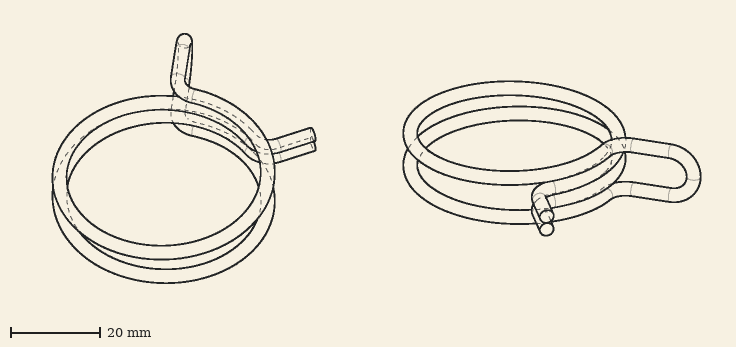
import cadquery as cq
import math


wire_diameter = 3.2
ring_outer_diameter = 50.0
overall_height = 14.3
end_gap = 0.1
bend_radius = 5.0
bend_start_angle = 20.0
leg_lean = 30.0
loop_leg_length = 8.9
free_leg_length = 8.5
coil_steps = 24

wire_radius = wire_diameter / 2
coil_radius = ring_outer_diameter / 2 - wire_radius
loop_radius = overall_height / 2 - wire_radius
loop_leg_z = loop_radius
free_leg_z = wire_radius + end_gap / 2
coil_start = 90 + bend_start_angle
coil_sweep = 360 + 2 * bend_start_angle


def polar(radius, angle, z):
    """Point at a radius and angle (degrees) about the Z axis."""
    turn = math.radians(angle)
    return cq.Vector(radius * math.cos(turn), radius * math.sin(turn), z)


def leg_direction(side):
    """Unit vector along a leg, outward from the ring; side is -1 or +1 in X."""
    return polar(1, 90 - side * leg_lean, 0)


def bend_points(side, z):
    """Start (on the coil), middle and end (on the leg) of a coil-to-leg bend."""
    coil_angle = 90 - side * bend_start_angle
    center = polar(coil_radius + bend_radius, coil_angle, z)
    start_angle = coil_angle + 180
    end_angle = 270 + side * (90 - leg_lean)
    middle_angle = (start_angle + end_angle) / 2
    return [center + polar(bend_radius, angle, 0) for angle in (start_angle, middle_angle, end_angle)]


def coil_edge():
    """Descending coil, run clockwise from the loop side to the free-end side."""
    points = []
    turns = []
    for step in range(coil_steps + 1):
        fraction = step / coil_steps
        z = loop_leg_z + fraction * (free_leg_z - loop_leg_z)
        points.append(polar(coil_radius, coil_start - fraction * coil_sweep, z))
        turns.append(math.radians(fraction * coil_sweep))
    start_tangent = polar(coil_radius, coil_start - 90, 0)
    end_tangent = polar(coil_radius, coil_start - coil_sweep - 90, 0)
    return cq.Edge.makeSpline(
        points, tangents=[start_tangent, end_tangent], parameters=turns, scale=False
    )


def upper_centreline():
    """Wire path from the middle of the U-loop to the upper free end."""
    loop_direction = leg_direction(-1)
    coil_in, loop_bend_middle, loop_leg_base = bend_points(-1, loop_leg_z)
    loop_leg_tip = loop_leg_base + loop_direction * loop_leg_length
    loop_center = cq.Vector(loop_leg_tip.x, loop_leg_tip.y, 0)
    loop_apex = loop_center + loop_direction * loop_radius
    loop_diagonal = (loop_direction + cq.Vector(0, 0, 1)).normalized()
    loop_middle = loop_center + loop_diagonal * loop_radius

    coil_out, free_bend_middle, free_leg_base = bend_points(1, free_leg_z)
    free_leg_tip = free_leg_base + leg_direction(1) * free_leg_length

    return cq.Wire.assembleEdges([
        cq.Edge.makeThreePointArc(loop_apex, loop_middle, loop_leg_tip),
        cq.Edge.makeLine(loop_leg_tip, loop_leg_base),
        cq.Edge.makeThreePointArc(loop_leg_base, loop_bend_middle, coil_in),
        coil_edge(),
        cq.Edge.makeThreePointArc(coil_out, free_bend_middle, free_leg_base),
        cq.Edge.makeLine(free_leg_base, free_leg_tip),
    ])


def upper_half():
    """Round wire swept along the upper centreline."""
    path = upper_centreline()
    section = cq.Plane(origin=path.startPoint(), xDir=leg_direction(-1), normal=(0, 0, 1))
    return cq.Workplane(section).circle(wire_radius).sweep(cq.Workplane(path))


upper = upper_half()
result = upper.union(upper.mirror("XY"))